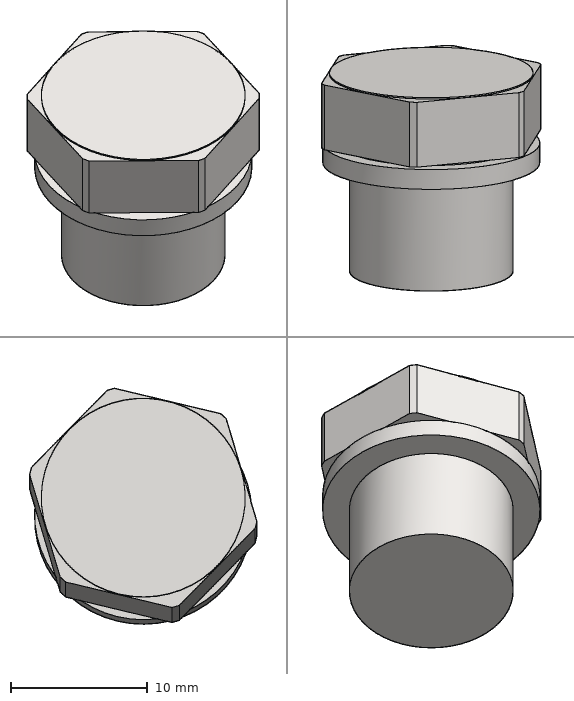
import cadquery as cq
import math

total_height = 15.0
across_flats = 15.0
across_corners = 17.0

shank_diameter = 12.0
shank_height = 8.2
flange_diameter = 15.91
flange_height = 1.5
neck_diameter = 13.5
neck_height = 0.3

face_diameter = 14.93
face_height = 0.1

flange_bottom = shank_height
neck_bottom = flange_bottom + flange_height
head_bottom = neck_bottom + neck_height
head_top = total_height - face_height


def disc(diameter, bottom, top):
    """Solid cylinder about Z between two heights."""
    return cq.Workplane("XY").workplane(offset=bottom).circle(diameter / 2).extrude(top - bottom)


def hex_head():
    """Hexagon with corners on the Y axis, trimmed by a cylinder at its corners."""
    sharp_corners = across_flats / math.cos(math.pi / 6)
    hexagon = (
        cq.Workplane("XY")
        .workplane(offset=head_bottom)
        .transformed(rotate=(0, 0, 90))
        .polygon(6, sharp_corners)
        .extrude(head_top - head_bottom)
    )
    return hexagon.intersect(disc(across_corners, head_bottom, head_top))


shank = disc(shank_diameter, 0, flange_bottom)
flange = disc(flange_diameter, flange_bottom, neck_bottom)
neck = disc(neck_diameter, neck_bottom, head_bottom)
face = disc(face_diameter, head_top, total_height)

result = shank.union(flange).union(neck).union(hex_head()).union(face)